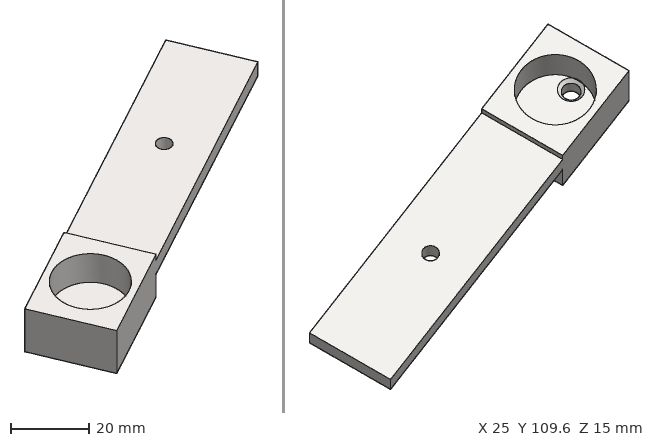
import cadquery as cq

width = 25.0
total_length = 109.62
block_length = 30.5
block_height = 15.0

arm_thickness = 5.0
arm_top_drop = 2.0
arm_hole_diameter = 4.5
arm_hole_y = 72.6

pocket_diameter = 21.0
pocket_depth = 10.0
pocket_y = block_length / 2

screw_hole_diameter = 5.0
countersink_diameter = 7.0
countersink_angle = 90.0
screw_hole_y = 8.0

arm_length = total_length - block_length
arm_bottom_z = block_height - arm_top_drop - arm_thickness
pocket_floor_z = block_height - pocket_depth


def make_body():
    """Block with its end face at Y = 0, joined to the arm running along +Y."""
    block = cq.Workplane("XY").box(width, block_length, block_height, centered=(True, False, False))
    arm = (
        cq.Workplane("XY", origin=(0, block_length, arm_bottom_z))
        .box(width, arm_length, arm_thickness, centered=(True, False, False))
    )
    return block.union(arm)


def cut_arm_hole(body):
    hole = (
        cq.Workplane("XY", origin=(0, arm_hole_y, arm_bottom_z))
        .circle(arm_hole_diameter / 2)
        .extrude(arm_thickness)
    )
    return body.cut(hole)


def cut_pocket(body):
    pocket = (
        cq.Workplane("XY", origin=(0, pocket_y, pocket_floor_z))
        .circle(pocket_diameter / 2)
        .extrude(pocket_depth)
    )
    return body.cut(pocket)


def cut_screw_hole(body):
    """Through hole with a countersink whose rim lies on the pocket floor."""
    return (
        body.copyWorkplane(cq.Workplane("XY", origin=(0, screw_hole_y, pocket_floor_z)))
        .cskHole(screw_hole_diameter, countersink_diameter, countersink_angle, depth=pocket_floor_z)
    )


result = cut_screw_hole(cut_pocket(cut_arm_hole(make_body())))